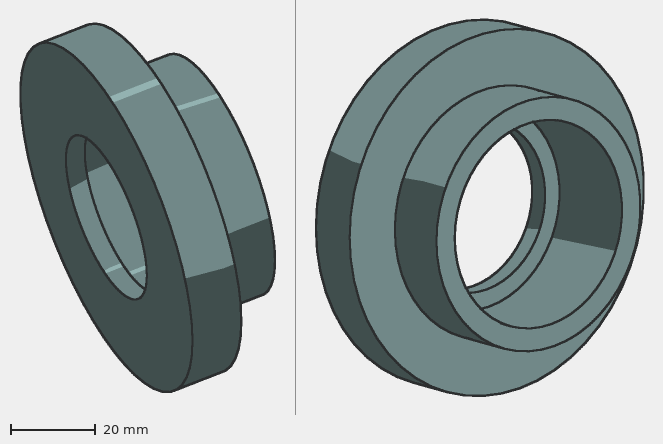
import cadquery as cq

flange_diameter = 88.0
hub_diameter = 61.0
hole_diameter = 41.4
counterbore_diameter = 50.0
total_length = 29.0
flange_thickness = 13.0
lip_thickness = 5.0

front_y = -total_length / 2


def cylinder(diameter, start, end):
    """Cylinder along Y; start and end are distances behind the flange face."""
    plane = cq.Workplane("XZ", origin=(0, front_y + start, 0))
    return plane.circle(diameter / 2).extrude(start - end)


flange = cylinder(flange_diameter, 0, flange_thickness)
hub = cylinder(hub_diameter, flange_thickness, total_length)
through_hole = cylinder(hole_diameter, 0, total_length)
counterbore = cylinder(counterbore_diameter, lip_thickness, total_length)

result = flange.union(hub).cut(through_hole).cut(counterbore)